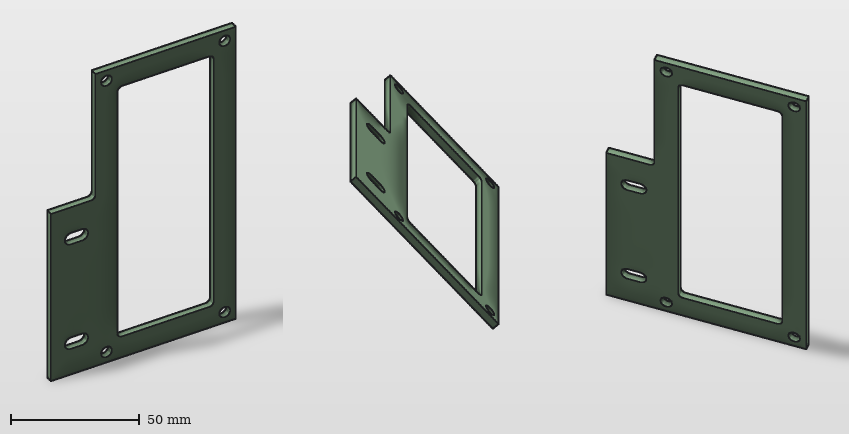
import cadquery as cq

thickness = 3.0
total_width = 83.2
height = 139.8

tab_width = 20.0
tab_height = 80.0
inner_corner_radius = 2.0
frame_width = total_width - tab_width

border = 10.0
window_width = frame_width - 2 * border
window_height = height - 2 * border
window_corner_radius = 2.0

hole_diameter = 4.8
hole_inset = 5.0

slot_length = 10.4
slot_height = 5.4
slot_edge_distance = 11.5
lower_slot_z = 15.0
slot_spacing = 50.0

tab_edge_y = -total_width / 2
frame_edge_y = tab_edge_y + tab_width
far_edge_y = total_width / 2
bottom_z = -height / 2
top_z = height / 2
tab_top_z = bottom_z + tab_height
frame_center_y = (frame_edge_y + far_edge_y) / 2


def plate_sketch():
    """YZ workplane on the -X face of the plate; extrusions run toward +X."""
    return cq.Workplane("YZ", origin=(-thickness / 2, 0, 0))


def make_plate():
    """L-shaped plate with a rounded inner corner above the tab."""
    plate = (
        plate_sketch()
        .moveTo(tab_edge_y, bottom_z)
        .lineTo(far_edge_y, bottom_z)
        .lineTo(far_edge_y, top_z)
        .lineTo(frame_edge_y, top_z)
        .lineTo(frame_edge_y, tab_top_z)
        .lineTo(tab_edge_y, tab_top_z)
        .close()
        .extrude(thickness)
    )
    inner_corner = cq.selectors.NearestToPointSelector((0, frame_edge_y, tab_top_z))
    return plate.edges("|X").edges(inner_corner).fillet(inner_corner_radius)


def make_window():
    """Rectangular opening with rounded corners."""
    return (
        plate_sketch()
        .center(frame_center_y, 0)
        .rect(window_width, window_height)
        .extrude(thickness)
        .edges("|X")
        .fillet(window_corner_radius)
    )


def make_mounting_holes():
    """Four round through holes, one at each corner of the frame."""
    return (
        plate_sketch()
        .center(frame_center_y, 0)
        .rect(frame_width - 2 * hole_inset, height - 2 * hole_inset, forConstruction=True)
        .vertices()
        .circle(hole_diameter / 2)
        .extrude(thickness)
    )


def make_tab_slots():
    """Two round-ended through slots, one above the other."""
    slot_y = tab_edge_y + slot_edge_distance
    first_slot_z = bottom_z + lower_slot_z
    return (
        plate_sketch()
        .pushPoints([(slot_y, first_slot_z), (slot_y, first_slot_z + slot_spacing)])
        .slot2D(slot_length, slot_height)
        .extrude(thickness)
    )


result = make_plate().cut(make_window()).cut(make_mounting_holes()).cut(make_tab_slots())